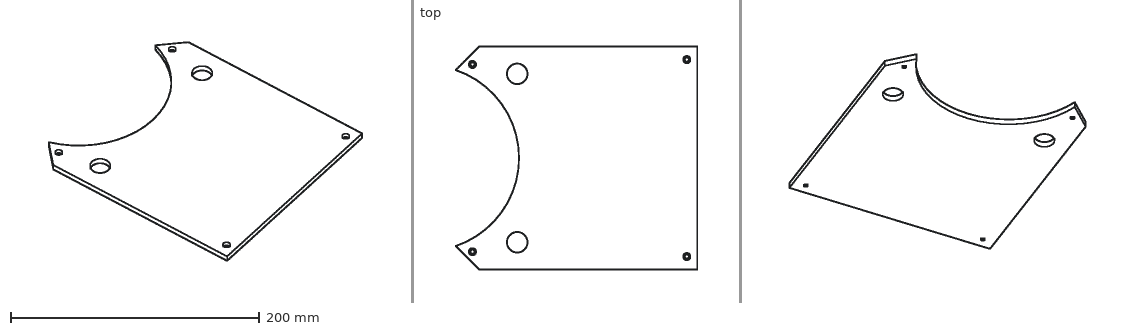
import cadquery as cq

length = 195.0
width = 180.0
thickness = 5.0
corner_cut = 19.1

cutout_depth = 51.0
tip_y = width / 2 - corner_cut

large_hole_diameter = 16.4
large_hole_x = 49.7
large_hole_y = 67.9

screw_diameter = 3.3
head_diameter = 5.8
head_depth = 3.5
left_screw_x = 13.6
left_screw_y = 75.5
right_screw_inset_x = 8.5
right_screw_y = 79.4


def mirrored_pair(x, y):
    """Two points placed symmetrically about the X axis."""
    return [(x, y), (x, -y)]


def make_plate():
    half_width = width / 2
    return (
        cq.Workplane("XY")
        .moveTo(0, -tip_y)
        .lineTo(corner_cut, -half_width)
        .lineTo(length, -half_width)
        .lineTo(length, half_width)
        .lineTo(corner_cut, half_width)
        .lineTo(0, tip_y)
        .threePointArc((cutout_depth, 0), (0, -tip_y))
        .close()
        .extrude(thickness)
    )


def cut_large_holes(plate):
    centers = mirrored_pair(large_hole_x, large_hole_y)
    return (
        plate.faces(">Z")
        .workplane(origin=(0, 0, thickness))
        .pushPoints(centers)
        .hole(large_hole_diameter)
    )


def cut_screw_holes(plate):
    left_centers = mirrored_pair(left_screw_x, left_screw_y)
    right_centers = mirrored_pair(length - right_screw_inset_x, right_screw_y)
    return (
        plate.faces(">Z")
        .workplane(origin=(0, 0, thickness))
        .pushPoints(left_centers + right_centers)
        .cboreHole(screw_diameter, head_diameter, head_depth)
    )


result = cut_screw_holes(cut_large_holes(make_plate()))